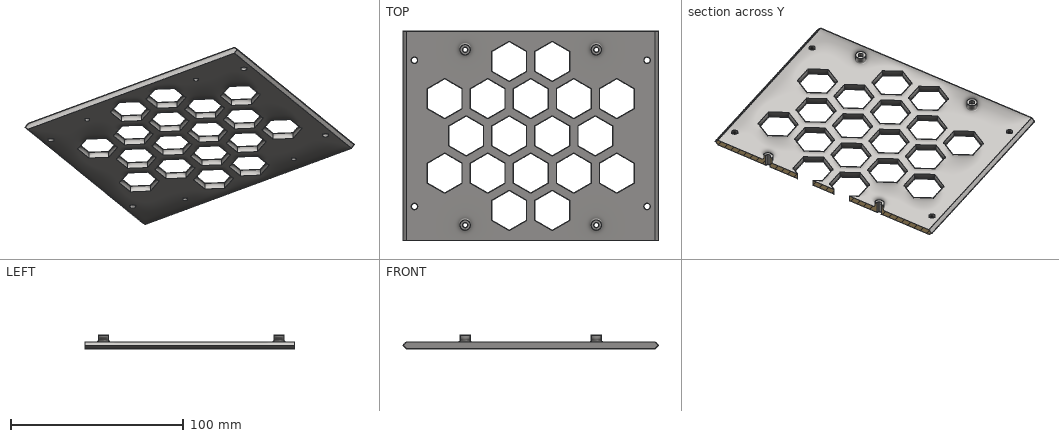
import cadquery as cq
import math

plate_length = 148.6
plate_width = 121.9
plate_thickness = 4.0
edge_bevel = plate_thickness / 2

hex_row_span = 100.0
hex_across_flats = 20.0
hexes_per_row = (2, 5, 4, 5, 2)
hex_pitch = hex_row_span / (max(hexes_per_row) - 1)
row_pitch = hex_pitch * math.sqrt(3) / 2
hex_across_corners = hex_across_flats * 2 / math.sqrt(3)

standoff_diameter = 6.0
standoff_bore = 2.8
overall_height = 8.0
foot_fillet = 1.0
standoff_spacing_x = 76.2
standoff_spacing_y = 102.0
standoff_center_y = -0.9

mount_hole_diameter = 3.5
mount_spacing_x = 135.2
mount_spacing_y = 85.0
mount_center_y = 1.5


def make_plate():
    """Plate resting on Z = 0, its left and right edges bevelled at 45 degrees from both faces."""
    half_length = plate_length / 2
    flat_half_length = half_length - edge_bevel
    profile = [
        (-flat_half_length, 0),
        (flat_half_length, 0),
        (half_length, plate_thickness / 2),
        (flat_half_length, plate_thickness),
        (-flat_half_length, plate_thickness),
        (-half_length, plate_thickness / 2),
    ]
    return cq.Workplane("XZ").polyline(profile).close().extrude(plate_width / 2, both=True)


def hex_centers():
    """Centres of the openings, each row centred on the plate."""
    centers = []
    for row, count in enumerate(hexes_per_row):
        y = (row - (len(hexes_per_row) - 1) / 2) * row_pitch
        for column in range(count):
            centers.append(((column - (count - 1) / 2) * hex_pitch, y))
    return centers


def make_hex_openings():
    """Hexagonal prisms with corners pointing along Y."""
    turned_plane = cq.Workplane("XY").transformed(rotate=(0, 0, 90))
    turned_centers = [(y, -x) for x, y in hex_centers()]
    return turned_plane.pushPoints(turned_centers).polygon(6, hex_across_corners).extrude(plate_thickness)


def rectangle_corners(spacing_x, spacing_y, center_y):
    """Four points at the corners of a rectangle shifted along Y."""
    return (
        cq.Workplane("XY")
        .center(0, center_y)
        .rect(spacing_x, spacing_y, forConstruction=True)
        .vertices()
    )


def standoff_cylinders(diameter, height):
    """Cylinders rising from the plate underside at the standoff positions."""
    corners = rectangle_corners(standoff_spacing_x, standoff_spacing_y, standoff_center_y)
    return corners.circle(diameter / 2).extrude(height)


def make_mount_holes():
    corners = rectangle_corners(mount_spacing_x, mount_spacing_y, mount_center_y)
    return corners.circle(mount_hole_diameter / 2).extrude(plate_thickness)


def add_standoffs(plate):
    """Bored standoffs on the plate top, blended into it by a fillet around each foot."""
    body = plate.union(standoff_cylinders(standoff_diameter, overall_height))
    plate_top_zone = cq.selectors.BoxSelector(
        (-plate_length, -plate_width, plate_thickness - foot_fillet),
        (plate_length, plate_width, plate_thickness + foot_fillet),
    )
    foot_edges = body.edges(plate_top_zone).edges(cq.selectors.RadiusNthSelector(-1))
    return foot_edges.fillet(foot_fillet).cut(standoff_cylinders(standoff_bore, overall_height))


perforated_plate = make_plate().cut(make_hex_openings()).cut(make_mount_holes())
result = add_standoffs(perforated_plate)